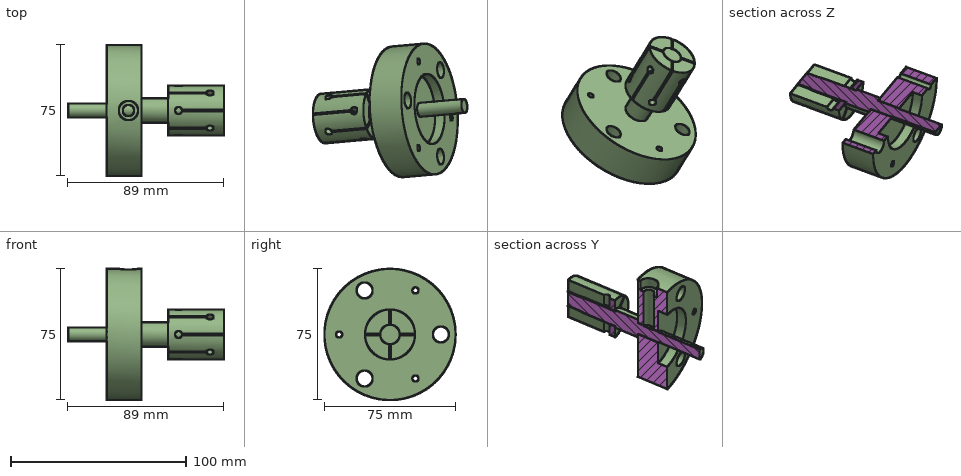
import cadquery as cq

total_length = 89.0
flange_start = 22.0
flange_thickness = 20.0
collar_length = 15.0
flange_end = flange_start + flange_thickness
sleeve_start = flange_end + collar_length
sleeve_length = total_length - sleeve_start

flange_diameter = 75.0
recess_diameter = 40.05
recess_depth = 6.0
bolt_circle_radius = 29.0
bolt_holes_per_circle = 3
clearance_hole_diameter = 9.0
small_hole_diameter = 3.4
clearance_hole_angle = 0
small_hole_angle = 180
port_x = flange_start + 12.5
port_diameter = 6.5
port_counterbore_diameter = 11.0
port_counterbore_depth = 7.0

input_diameter = 8.0
collar_diameter = 14.1
journal_diameter = 12.0
journal_length = 21.45
taper_length = 3.0
tip_diameter = 11.1

sleeve_diameter = 28.6
slot_width = 0.9
relief_hole_diameter = 4.0
outer_slot_relief_x = sleeve_start + 6.0
inner_slot_relief_x = total_length - 8.0
slots_per_end = 4


def cylinder_along_x(start, length, diameter):
    return cq.Workplane("YZ", origin=(start, 0, 0)).circle(diameter / 2).extrude(length)


def bolt_holes(diameter, first_angle):
    """Three through holes on the bolt circle, the angle measured from +Y towards +Z."""
    return (
        cq.Workplane("YZ", origin=(flange_start, 0, 0))
        .polarArray(bolt_circle_radius, first_angle, 360, bolt_holes_per_circle)
        .circle(diameter / 2)
        .extrude(flange_thickness)
    )


def make_port():
    """Counterbored radial hole from the top of the rim down to the shaft bore."""
    drill = cq.Workplane("XY", origin=(port_x, 0, 0)).circle(port_diameter / 2).extrude(flange_diameter / 2)
    counterbore_floor = flange_diameter / 2 - port_counterbore_depth
    counterbore = (
        cq.Workplane("XY", origin=(port_x, 0, counterbore_floor))
        .circle(port_counterbore_diameter / 2)
        .extrude(port_counterbore_depth)
    )
    return drill.union(counterbore)


def make_flange():
    flange = cylinder_along_x(flange_start, flange_thickness, flange_diameter)
    flange = flange.cut(cylinder_along_x(flange_start, recess_depth, recess_diameter))
    flange = flange.cut(cylinder_along_x(flange_start, flange_thickness, input_diameter))
    flange = flange.cut(bolt_holes(clearance_hole_diameter, clearance_hole_angle))
    flange = flange.cut(bolt_holes(small_hole_diameter, small_hole_angle))
    return flange.cut(make_port())


def make_shaft():
    """Stepped shaft whose journal, inside the sleeve, tapers down to a slimmer tip."""
    input_radius = input_diameter / 2
    collar_radius = collar_diameter / 2
    journal_radius = journal_diameter / 2
    tip_radius = tip_diameter / 2
    taper_start = sleeve_start + journal_length
    half_profile = (
        cq.Workplane("XY")
        .lineTo(0, input_radius)
        .lineTo(flange_end, input_radius)
        .lineTo(flange_end, collar_radius)
        .lineTo(sleeve_start, collar_radius)
        .lineTo(sleeve_start, journal_radius)
        .lineTo(taper_start, journal_radius)
        .lineTo(taper_start + taper_length, tip_radius)
        .lineTo(total_length, tip_radius)
        .lineTo(total_length, 0)
        .close()
    )
    return half_profile.revolve(360, (0, 0, 0), (1, 0, 0))


def make_slot(open_end_x, relief_x, angle):
    """Radial slot from an end face of the sleeve to a round relief hole."""
    reach = sleeve_diameter
    slot_length = abs(open_end_x - relief_x)
    slot = (
        cq.Workplane("XY", origin=((open_end_x + relief_x) / 2, 0, 0))
        .rect(slot_length, slot_width)
        .extrude(reach)
    )
    relief = cq.Workplane("XY", origin=(relief_x, 0, 0)).circle(relief_hole_diameter / 2).extrude(reach)
    return slot.union(relief).rotate((0, 0, 0), (1, 0, 0), angle)


def make_sleeve(shaft):
    """Sleeve slotted alternately from both ends, its bore a close fit on the shaft."""
    sleeve = cylinder_along_x(sleeve_start, sleeve_length, sleeve_diameter)
    pitch = 360 / slots_per_end
    for i in range(slots_per_end):
        outer_slot = make_slot(total_length, outer_slot_relief_x, i * pitch)
        inner_slot = make_slot(sleeve_start, inner_slot_relief_x, (i + 0.5) * pitch)
        sleeve = sleeve.cut(outer_slot).cut(inner_slot)
    return sleeve.cut(shaft)


flange = make_flange()
shaft = make_shaft()
sleeve = make_sleeve(shaft)

result = cq.Compound.makeCompound([flange.val(), shaft.val(), sleeve.val()])